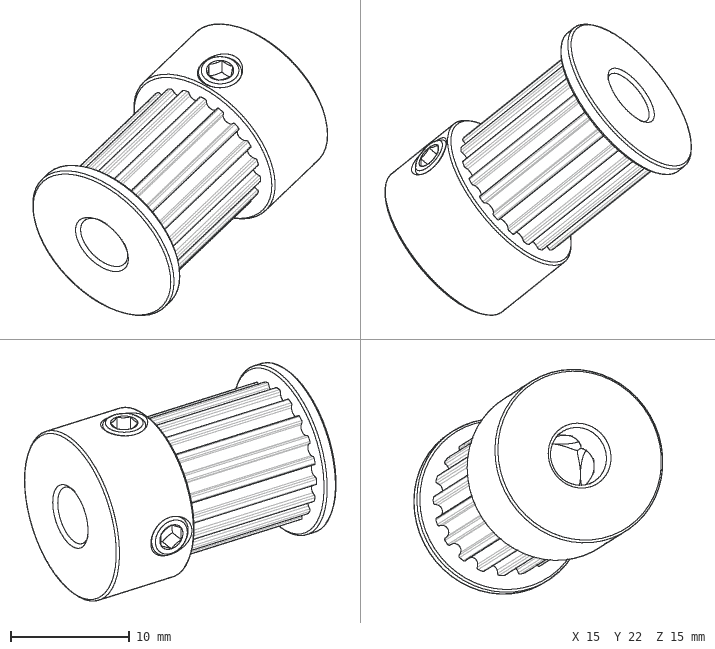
import cadquery as cq
import math

OVERALL_LENGTH = 22.0
OUTER_DIAMETER = 15.0
FLANGE_WIDTH = 1.2
HUB_WIDTH = 7.79
RIM_CHAMFER = 0.2
BORE_DIAMETER = 5.0
BORE_CHAMFER = 0.3

TOOTH_COUNT = 20
TOOTH_TIP_DIAMETER = 12.2
GROOVE_FLOOR_RADIUS = 0.55
GROOVE_FLANK_RADIUS = 1.0
GROOVE_FLANK_OFFSET = 0.4
TOOTH_TIP_FILLET = 0.15

SCREW_DIAMETER = 3.65
SCREW_FACE_DIAMETER = 3.2
COUNTERSINK_DIAMETER = 4.11
SCREW_FROM_HUB_END = 5.4
SCREW_TURNS = (0, -90)

SOCKET_ACROSS_FLATS = 2.0
SOCKET_DEPTH = 1.98
SOCKET_TIP_DIAMETER = 0.35
SOCKET_CONE_HEIGHT = 0.57
SOCKET_CHAMFER_HEIGHT = 0.09

outer_radius = OUTER_DIAMETER / 2
bore_radius = BORE_DIAMETER / 2
tip_radius = TOOTH_TIP_DIAMETER / 2
hub_start = OVERALL_LENGTH - HUB_WIDTH
screw_y = OVERALL_LENGTH - SCREW_FROM_HUB_END
screw_length = outer_radius - bore_radius
screw_chamfer = (SCREW_DIAMETER - SCREW_FACE_DIAMETER) / 2
socket_corner_diameter = SOCKET_ACROSS_FLATS / math.cos(math.pi / 6)


def disc(start, length, diameter):
    """Cylinder on the pulley axis, from Y = start to Y = start + length."""
    return cq.Workplane("XZ", origin=(0, start, 0)).circle(diameter / 2).extrude(-length)


def rim(start, length):
    """Full-diameter disc with both edges chamfered."""
    return disc(start, length, OUTER_DIAMETER).edges().chamfer(RIM_CHAMFER)


def turned_to_screw(shape, turn):
    """Turn a shape built around the +Z screw axis to its place around the pulley."""
    return shape.rotate((0, 0, 0), (0, 1, 0), turn)


def make_groove(length):
    """Belt groove around +Z: two flank arcs centred at the tooth tip radius, tangent to a round floor."""
    half_width = GROOVE_FLANK_RADIUS - GROOVE_FLANK_OFFSET
    centre_distance = GROOVE_FLANK_RADIUS - GROOVE_FLOOR_RADIUS
    floor_centre_depth = math.sqrt(centre_distance**2 - GROOVE_FLANK_OFFSET**2)
    floor_bottom = tip_radius - floor_centre_depth - GROOVE_FLOOR_RADIUS
    groove_top = tip_radius + GROOVE_FLOOR_RADIUS

    tangent_angle = math.atan2(floor_centre_depth, GROOVE_FLANK_OFFSET)

    def flank_point(angle):
        x = GROOVE_FLANK_RADIUS * math.cos(angle) - GROOVE_FLANK_OFFSET
        z = tip_radius - GROOVE_FLANK_RADIUS * math.sin(angle)
        return x, z

    tangent_x, tangent_z = flank_point(tangent_angle)
    middle_x, middle_z = flank_point(tangent_angle / 2)
    return (
        cq.Workplane("XZ", origin=(0, FLANGE_WIDTH, 0))
        .moveTo(-half_width, groove_top)
        .lineTo(-half_width, tip_radius)
        .threePointArc((-middle_x, middle_z), (-tangent_x, tangent_z))
        .threePointArc((0, floor_bottom), (tangent_x, tangent_z))
        .threePointArc((middle_x, middle_z), (half_width, tip_radius))
        .lineTo(half_width, groove_top)
        .close()
        .extrude(-length)
    )


def make_toothed_section():
    length = hub_start - FLANGE_WIDTH
    blank = disc(FLANGE_WIDTH, length, TOOTH_TIP_DIAMETER)
    groove = make_groove(length)
    pitch_angle = 360 / TOOTH_COUNT
    for index in range(TOOTH_COUNT):
        blank = blank.cut(groove.rotate((0, 0, 0), (0, 1, 0), (index + 0.5) * pitch_angle))

    tip_corners = [
        edge
        for edge in blank.edges("|Y").vals()
        if math.hypot(edge.Center().x, edge.Center().z) > tip_radius - TOOTH_TIP_FILLET / 2
    ]
    return blank.newObject(tip_corners).fillet(TOOTH_TIP_FILLET)


def make_screw_hole():
    """Countersunk radial hole from the bore to the hub surface, around the +Z screw axis."""
    hole = cq.Workplane("XY", origin=(0, screw_y, 0)).circle(SCREW_DIAMETER / 2).extrude(outer_radius)
    countersink_depth = (COUNTERSINK_DIAMETER - SCREW_DIAMETER) / 2
    countersink = (
        cq.Workplane("XY", origin=(0, screw_y, outer_radius))
        .circle(COUNTERSINK_DIAMETER / 2)
        .extrude(-countersink_depth, taper=45)
    )
    return hole.union(countersink)


def make_pulley():
    pulley = rim(0, FLANGE_WIDTH).union(make_toothed_section()).union(rim(hub_start, HUB_WIDTH))
    pulley = pulley.cut(disc(0, OVERALL_LENGTH, BORE_DIAMETER))
    bore_rims = cq.selectors.RadiusNthSelector(0)
    pulley = pulley.faces("<Y or >Y").edges(bore_rims).chamfer(BORE_CHAMFER)
    for turn in SCREW_TURNS:
        pulley = pulley.cut(turned_to_screw(make_screw_hole(), turn))
    return pulley


def make_socket():
    """Hexagonal socket with a chamfered mouth and a blunt conical floor, going down from Z = 0."""
    corner_radius = socket_corner_diameter / 2
    hexagon = cq.Workplane("XY").polygon(6, socket_corner_diameter).extrude(-SOCKET_DEPTH)
    floor_envelope = (
        cq.Workplane("XZ")
        .moveTo(0, 0)
        .lineTo(corner_radius, 0)
        .lineTo(corner_radius, SOCKET_CONE_HEIGHT - SOCKET_DEPTH)
        .lineTo(SOCKET_TIP_DIAMETER / 2, -SOCKET_DEPTH)
        .lineTo(0, -SOCKET_DEPTH)
        .close()
        .revolve(360, (0, 0), (0, 1))
    )
    flat_radius = SOCKET_ACROSS_FLATS / 2
    mouth = (
        cq.Workplane("XZ")
        .lineTo(corner_radius, 0)
        .lineTo(flat_radius, -SOCKET_CHAMFER_HEIGHT)
        .lineTo(0, -SOCKET_CHAMFER_HEIGHT)
        .close()
        .revolve(360, (0, 0), (0, 1))
    )
    return hexagon.intersect(floor_envelope).union(mouth)


def make_set_screw(turn):
    """Set screw reaching from the crown of the hub to the bore."""
    screw = (
        cq.Workplane("XY")
        .circle(SCREW_DIAMETER / 2)
        .extrude(-screw_length)
        .faces(">Z")
        .chamfer(screw_chamfer)
        .cut(make_socket())
        .translate((0, screw_y, outer_radius))
    )
    return turned_to_screw(screw, turn)


pulley = make_pulley()
set_screws = [make_set_screw(turn) for turn in SCREW_TURNS]

result = cq.Compound.makeCompound([pulley.val(), *[screw.val() for screw in set_screws]])